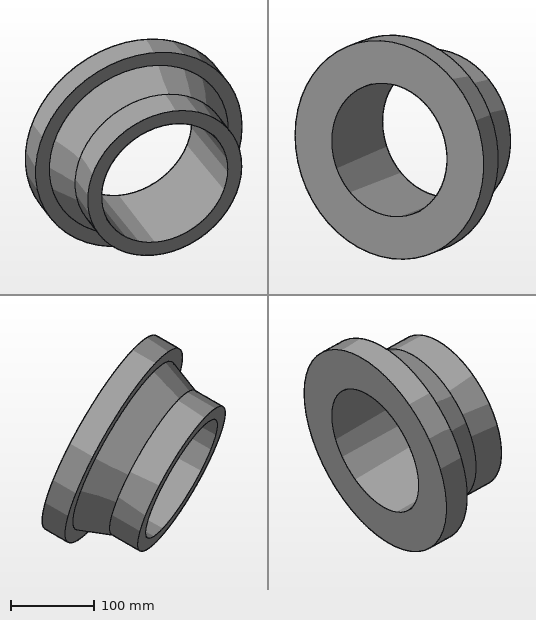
import cadquery as cq

flange_diameter = 268.0
total_length = 114.0
bore_diameter = 163.5

flange_thickness = 32.5
neck_base_diameter = 232.0
hub_diameter = 200.0
hub_length = 39.7

bore_radius = bore_diameter / 2
flange_radius = flange_diameter / 2
neck_base_radius = neck_base_diameter / 2
hub_radius = hub_diameter / 2
neck_end = total_length - hub_length

half_section = [
    (0, bore_radius),
    (0, flange_radius),
    (flange_thickness, flange_radius),
    (flange_thickness, neck_base_radius),
    (neck_end, hub_radius),
    (total_length, hub_radius),
    (total_length, bore_radius),
]

result = (
    cq.Workplane("XY")
    .polyline(half_section)
    .close()
    .revolve(360, (0, 0, 0), (1, 0, 0))
)